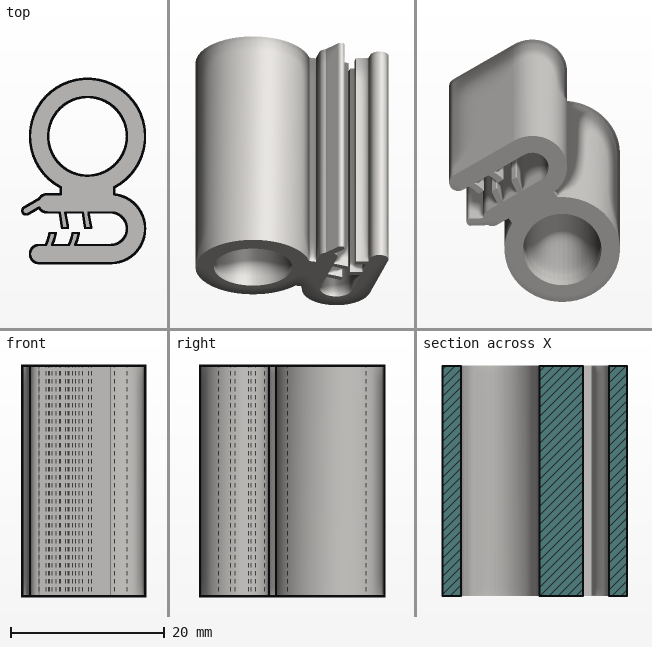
import cadquery as cq
import math

length = 30.0
bulb_radius = 7.5
bore_radius = 5.1
neck_width = 7.0

clip_radius = 4.5
wall = 2.4
slot_radius = clip_radius - wall
nose_radius = wall / 2
overall_depth = 24.0
bottom_y = bulb_radius - overall_depth
clip_y = bottom_y + clip_radius
bend_x = bulb_radius - clip_radius
lower_nose_x = -bulb_radius + nose_radius
upper_nose_x = -5.25
clip_top_y = clip_y + clip_radius
slot_top_y = clip_y + slot_radius
slot_bottom_y = clip_y - slot_radius

lip_radius = 0.5
lip_angle = math.radians(30)
lip_tip_x = -8.5

barb_pitch = 3.0
barb_count = 2
root_overlap = 0.3
upper_barb_x = -3.63
upper_barb_root_width = 0.75
upper_barb_tip_width = 0.85
upper_barb_height = 2.05
upper_barb_lean = 0.3
upper_barb_corner_radius = 0.12
lower_barb_x = -5.43
lower_barb_width = 0.85
lower_barb_height = 1.55
lower_barb_lean = 0.48
lower_barb_bow = 0.05


def make_clip():
    """Two round-nosed legs joined by a half-round bend."""
    return (
        cq.Workplane("XY")
        .moveTo(upper_nose_x, clip_top_y)
        .lineTo(bend_x, clip_top_y)
        .threePointArc((bend_x + clip_radius, clip_y), (bend_x, bottom_y))
        .lineTo(lower_nose_x, bottom_y)
        .threePointArc(
            (lower_nose_x - nose_radius, bottom_y + nose_radius), (lower_nose_x, slot_bottom_y)
        )
        .lineTo(bend_x, slot_bottom_y)
        .threePointArc((bend_x + slot_radius, clip_y), (bend_x, slot_top_y))
        .lineTo(upper_nose_x, slot_top_y)
        .threePointArc(
            (upper_nose_x - nose_radius, clip_top_y - nose_radius), (upper_nose_x, clip_top_y)
        )
        .close()
        .extrude(length)
    )


def make_lip():
    """Round-tipped strip whose upper edge starts where the upper leg's flat top ends."""
    along_x = math.cos(lip_angle)
    along_y = math.sin(lip_angle)
    start_x = upper_nose_x + lip_radius * along_y
    start_y = clip_top_y - lip_radius * along_x
    tip_x = lip_tip_x + lip_radius
    tip_y = start_y - (start_x - tip_x) * math.tan(lip_angle)
    offset_x = -lip_radius * along_y
    offset_y = lip_radius * along_x
    return (
        cq.Workplane("XY")
        .moveTo(start_x + offset_x, start_y + offset_y)
        .lineTo(tip_x + offset_x, tip_y + offset_y)
        .threePointArc(
            (tip_x - lip_radius * along_x, tip_y - lip_radius * along_y),
            (tip_x - offset_x, tip_y - offset_y),
        )
        .lineTo(start_x - offset_x, start_y - offset_y)
        .close()
        .extrude(length)
    )


def make_upper_barb(root_x):
    """Straight leaning barb with rounded tip corners, hanging from the upper leg."""
    tip_x = root_x + upper_barb_lean
    tip_y = slot_top_y - upper_barb_height
    return (
        cq.Workplane("XY")
        .moveTo(root_x, slot_top_y + root_overlap)
        .lineTo(root_x, slot_top_y)
        .lineTo(tip_x, tip_y)
        .lineTo(tip_x + upper_barb_tip_width, tip_y)
        .lineTo(root_x + upper_barb_root_width, slot_top_y)
        .lineTo(root_x + upper_barb_root_width, slot_top_y + root_overlap)
        .close()
        .extrude(length)
        .faces("<Y")
        .edges("|Z")
        .fillet(upper_barb_corner_radius)
    )


def make_lower_barb(root_x):
    """Leaning barb with gently curved flanks, standing on the lower leg."""
    tip_x = root_x + lower_barb_lean
    tip_y = slot_bottom_y + lower_barb_height
    middle_x = root_x + lower_barb_lean / 2 + lower_barb_bow
    middle_y = slot_bottom_y + lower_barb_height / 2
    return (
        cq.Workplane("XY")
        .moveTo(root_x, slot_bottom_y - root_overlap)
        .lineTo(root_x, slot_bottom_y)
        .threePointArc((middle_x, middle_y), (tip_x, tip_y))
        .lineTo(tip_x + lower_barb_width, tip_y)
        .threePointArc(
            (middle_x + lower_barb_width, middle_y), (root_x + lower_barb_width, slot_bottom_y)
        )
        .lineTo(root_x + lower_barb_width, slot_bottom_y - root_overlap)
        .close()
        .extrude(length)
    )


bulb = cq.Workplane("XY").circle(bulb_radius).extrude(length)
bore = cq.Workplane("XY").circle(bore_radius).extrude(length)

neck_bottom_y = clip_top_y - nose_radius
neck = (
    cq.Workplane("XY")
    .center(0, neck_bottom_y / 2)
    .rect(neck_width, -neck_bottom_y)
    .extrude(length)
)

result = bulb.union(neck).cut(bore).union(make_clip()).union(make_lip())
for index in range(barb_count):
    shift = index * barb_pitch
    result = result.union(make_upper_barb(upper_barb_x + shift))
    result = result.union(make_lower_barb(lower_barb_x + shift))